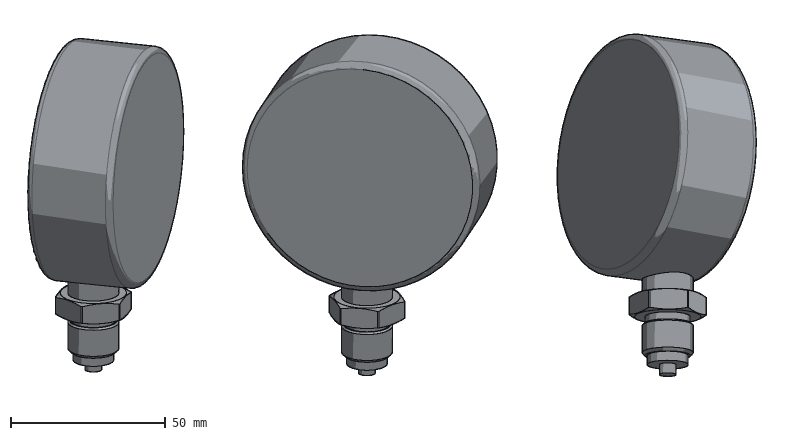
import cadquery as cq
import math

CASE_DIAMETER = 79.0
CASE_DEPTH = 29.0
CASE_EDGE_RADIUS = 2.0

STEM_AXIS_X = 10.3
HEX_TOP = -44.75
HEX_HEIGHT = 7.0
UNDERCUT_BOTTOM = -54.15
THREAD_BOTTOM = -64.7
SPIGOT_BOTTOM = -67.7
TIP_BOTTOM = -71.0
HEX_BOTTOM = HEX_TOP - HEX_HEIGHT

THREAD_DIAMETER = 16.6
UNDERCUT_DIAMETER = 14.6
SPIGOT_DIAMETER = 13.3
TIP_DIAMETER = 5.5
THREAD_TOP_CHAMFER = 0.6
THREAD_BOTTOM_CHAMFER = 1.0

HEX_ACROSS_FLATS = 22.0
HEX_HALF_SECTOR = 30.0
HEX_ACROSS_CORNERS = HEX_ACROSS_FLATS / math.cos(math.radians(HEX_HALF_SECTOR))
HEX_CHAMFER_ANGLE = 20.0
HEX_CHAMFER_START_DIAMETER = 21.5
HEX_TRIMMED_DIAMETER = 25.1


def make_case():
    disc = cq.Workplane("YZ").circle(CASE_DIAMETER / 2).extrude(CASE_DEPTH)
    return disc.edges().fillet(CASE_EDGE_RADIUS)


def stem_cylinder(diameter, bottom, top):
    base = cq.Workplane("XY", origin=(STEM_AXIS_X, 0, bottom))
    return base.circle(diameter / 2).extrude(top - bottom)


def make_thread():
    thread = stem_cylinder(THREAD_DIAMETER, THREAD_BOTTOM, UNDERCUT_BOTTOM)
    thread = thread.faces(">Z").chamfer(THREAD_TOP_CHAMFER)
    return thread.faces("<Z").chamfer(THREAD_BOTTOM_CHAMFER)


def make_hexagon():
    """Hexagon with its corners trimmed to a cylinder and chamfered by a cone at each end."""
    base = cq.Workplane("XY", origin=(STEM_AXIS_X, 0, HEX_BOTTOM))
    turned = base.transformed(rotate=(0, 0, HEX_HALF_SECTOR))
    hexagon = turned.polygon(6, HEX_ACROSS_CORNERS).extrude(HEX_HEIGHT)
    start_radius = HEX_CHAMFER_START_DIAMETER / 2
    corner_radius = HEX_TRIMMED_DIAMETER / 2
    drop = (corner_radius - start_radius) * math.tan(math.radians(HEX_CHAMFER_ANGLE))
    envelope = (
        cq.Workplane("XZ", origin=(STEM_AXIS_X, 0, 0))
        .moveTo(0, HEX_BOTTOM)
        .lineTo(start_radius, HEX_BOTTOM)
        .lineTo(corner_radius, HEX_BOTTOM + drop)
        .lineTo(corner_radius, HEX_TOP - drop)
        .lineTo(start_radius, HEX_TOP)
        .lineTo(0, HEX_TOP)
        .close()
        .revolve(360, (0, 0, 0), (0, 1, 0))
    )
    return hexagon.intersect(envelope)


def make_stem():
    stem = stem_cylinder(THREAD_DIAMETER, HEX_TOP, 0)
    undercut = stem_cylinder(UNDERCUT_DIAMETER, UNDERCUT_BOTTOM, HEX_BOTTOM)
    spigot = stem_cylinder(SPIGOT_DIAMETER, SPIGOT_BOTTOM, THREAD_BOTTOM)
    tip = stem_cylinder(TIP_DIAMETER, TIP_BOTTOM, SPIGOT_BOTTOM)
    for section in (make_hexagon(), undercut, make_thread(), spigot, tip):
        stem = stem.union(section)
    return stem


result = make_case().union(make_stem())